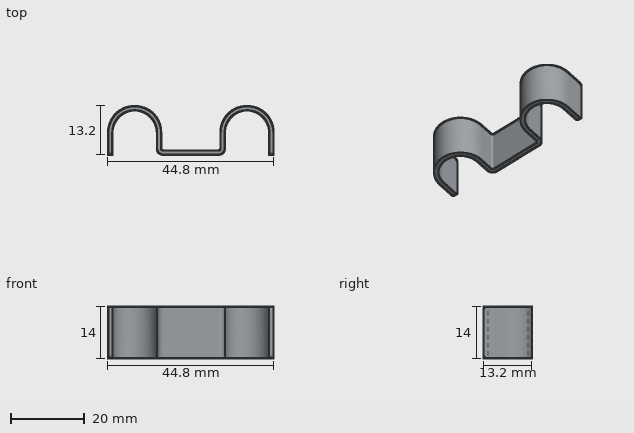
import cadquery as cq

thickness = 1.2
height = 14.0

clip_inner_radius = 6.0
clip_spacing = 30.4
leg_length = 6.0
bend_inner_radius = 0.5
leg_corner_radius = 1.0

clip_outer_radius = clip_inner_radius + thickness
bend_outer_radius = bend_inner_radius + thickness
clip_x = clip_spacing / 2
outer_leg_x = clip_x + clip_outer_radius
web_half_width = clip_x - clip_inner_radius


def half_ring(center_x):
    """Half-round clip bulging towards +Y, with its centre on Y = 0."""
    ring = (
        cq.Workplane("XY")
        .center(center_x, 0)
        .circle(clip_outer_radius)
        .circle(clip_inner_radius)
        .extrude(height)
    )
    upper_half = cq.Workplane("XY").box(
        2 * outer_leg_x, clip_outer_radius, height, centered=(True, False, False)
    )
    return ring.intersect(upper_half)


def outer_leg(center_x):
    """Straight free leg, rounded at its two end corners."""
    leg = (
        cq.Workplane("XY")
        .center(center_x, -leg_length / 2)
        .rect(thickness, leg_length)
        .extrude(height)
    )
    return leg.edges("|X and <Y").fillet(leg_corner_radius)


def web():
    """U-shaped web: two inner legs bent into the flat base between the clips."""
    outside = (
        cq.Workplane("XY")
        .center(0, -leg_length / 2)
        .rect(2 * web_half_width, leg_length)
        .extrude(height)
        .edges("|Z and <Y")
        .fillet(bend_outer_radius)
    )
    inside = (
        cq.Workplane("XY")
        .center(0, thickness - leg_length / 2)
        .rect(2 * (web_half_width - thickness), leg_length)
        .extrude(height)
        .edges("|Z and <Y")
        .fillet(bend_inner_radius)
    )
    return outside.cut(inside)


result = web()
for side in (-1, 1):
    result = result.union(half_ring(side * clip_x))
    result = result.union(outer_leg(side * (outer_leg_x - thickness / 2)))